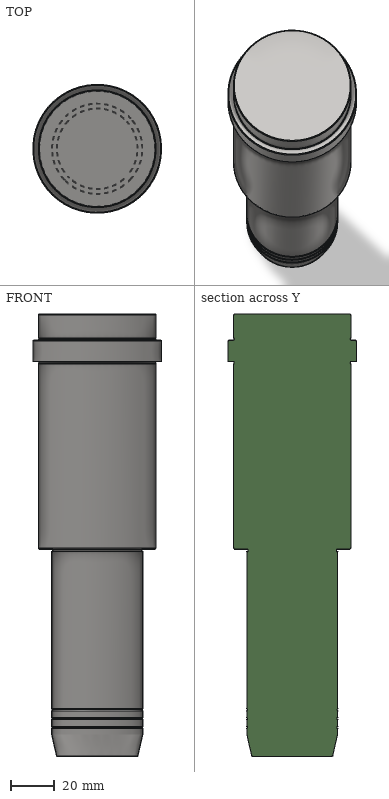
import cadquery as cq

total_length = 203.0
head_length = 12.0
collar_thickness = 10.0
lower_body_length = 86.0

collar_radius = 29.54
body_radius = 27.0
spigot_radius = 21.0
nose_tip_radius = 18.7

body_chamfer = 0.6
fine_chamfer = 0.5

groove_width = 1.0
groove_depth = 0.3
groove_pitch = 4.0
groove_count = 3
lowest_groove_height = 13.4

neck_width = 1.0
neck_depth = 0.5

nose_length = 10.2

collar_top = total_length - head_length
collar_bottom = collar_top - collar_thickness
body_bottom = collar_bottom - lower_body_length


def revolve_profile(points):
    """Solid of revolution about Z from (radius, height) points."""
    return cq.Workplane("XZ").polyline(points).close().revolve(360, (0, 0), (0, 1))


def cylinder(radius, bottom, top):
    """Solid cylinder on the Z axis between two levels."""
    return cq.Workplane("XY").workplane(offset=bottom).circle(radius).extrude(top - bottom)


def v_groove(radius, center_height):
    """Ring of triangular section that cuts a V-groove into a cylinder of the given radius."""
    return revolve_profile([
        (radius, center_height - groove_width / 2),
        (radius - groove_depth, center_height),
        (radius, center_height + groove_width / 2),
    ])


def make_spigot():
    """Slim lower cylinder with a tapered nose, V-grooves and a relieved neck."""
    neck_bottom = body_bottom - neck_width
    spigot = revolve_profile([
        (0, 0),
        (nose_tip_radius - fine_chamfer, 0),
        (nose_tip_radius, fine_chamfer),
        (spigot_radius, nose_length),
        (spigot_radius, neck_bottom),
        (spigot_radius - neck_depth, neck_bottom),
        (spigot_radius - neck_depth, body_bottom),
        (0, body_bottom),
    ])
    for index in range(groove_count):
        spigot = spigot.cut(v_groove(spigot_radius, lowest_groove_height + index * groove_pitch))
    return spigot


def make_body():
    """Main cylinder, chamfered at the bottom, with a V-groove just below the collar."""
    body = cylinder(body_radius, body_bottom, collar_bottom).edges("<Z").chamfer(body_chamfer)
    return body.cut(v_groove(body_radius, collar_bottom - groove_width / 2))


def make_collar():
    """Wide collar with a fine chamfer on its upper edge."""
    return cylinder(collar_radius, collar_bottom, collar_top).edges(">Z").chamfer(fine_chamfer)


def make_head():
    """Head with a fine chamfer on its top edge and a V-groove just above the collar."""
    head = cylinder(body_radius, collar_top, total_length).edges(">Z").chamfer(fine_chamfer)
    return head.cut(v_groove(body_radius, collar_top + groove_width / 2))


result = make_spigot().union(make_body()).union(make_collar()).union(make_head())